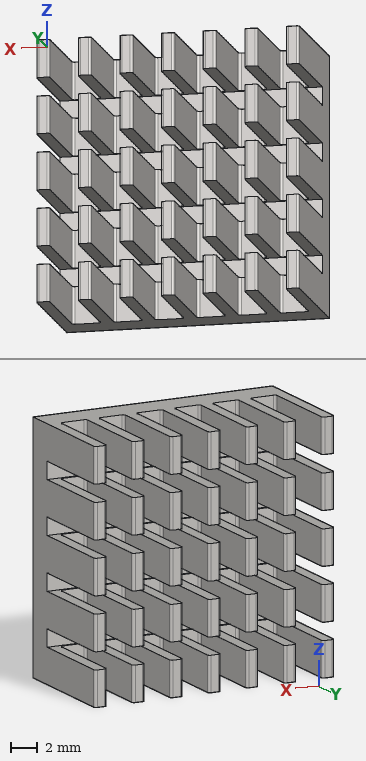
import cadquery as cq

width = 20.0
height = 20.0
pad_thickness = 0.2
body_depth = 10.0

pad_margin = 1.0

fin_count = 7
fin_thickness = 1.0
fin_length = 7.5
fin_pitch = (width - fin_thickness) / (fin_count - 1)
channel_width = fin_pitch - fin_thickness
tip_radius = 0.2
root_radius = 0.2

row_count = 5
cut_count = row_count - 1
cut_height = 1.4
row_height = (height - cut_count * cut_height) / row_count
cut_pitch = row_height + cut_height
cut_depth = 7.7

body_back_y = pad_thickness
tip_y = pad_thickness + body_depth
root_y = tip_y - fin_length


def box_between(x_size, y_start, y_end, z_size, x_center=0.0, z_center=0.0):
    """Box given by its Y range and centred on X and Z positions."""
    y_center = (y_start + y_end) / 2
    box = cq.Workplane("XY").box(x_size, y_end - y_start, z_size)
    return box.translate((x_center, y_center, z_center))


def make_channel(x_center):
    """Full-height channel between two fins, rounded at its floor."""
    channel = box_between(channel_width, root_y, tip_y, height, x_center=x_center)
    return channel.edges("|Z and <Y").fillet(root_radius)


def make_finned_body():
    """Block with evenly spaced channels along X and rounded fin tips."""
    body = box_between(width, body_back_y, tip_y, height)
    for index in range(fin_count - 1):
        channel_x = (index - (fin_count - 2) / 2) * fin_pitch
        body = body.cut(make_channel(channel_x))
    return body.faces(">Y").edges("|Z").fillet(tip_radius)


def cut_rows(body):
    """Cut the fins across their full width, slightly deeper than the channel floors."""
    for index in range(cut_count):
        cut_z = (index - (cut_count - 1) / 2) * cut_pitch
        body = body.cut(box_between(width, tip_y - cut_depth, tip_y, cut_height, z_center=cut_z))
    return body


def make_pad():
    """Pad that touches the back face of the body."""
    return box_between(width - 2 * pad_margin, 0.0, body_back_y, height - 2 * pad_margin)


result = cut_rows(make_finned_body()).union(make_pad())